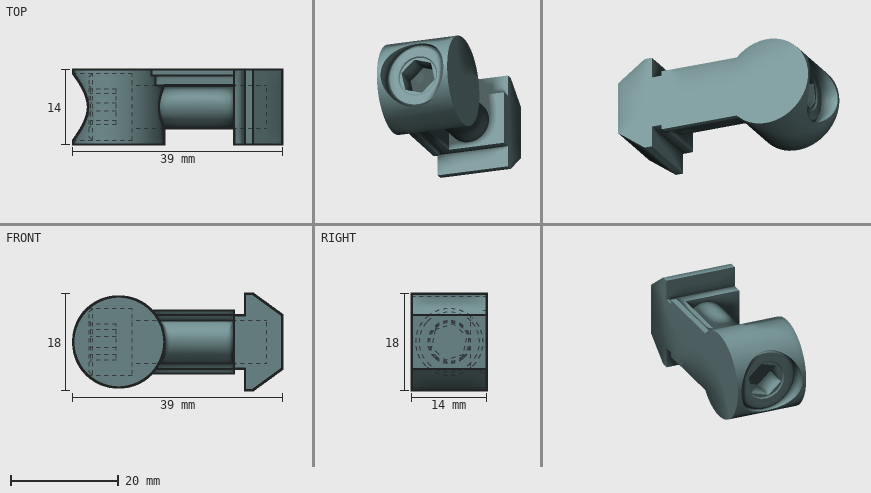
import cadquery as cq
import math

body_width = 14.0
half_width = body_width / 2

barrel_diameter = 17.0
barrel_radius = barrel_diameter / 2
barrel_left = 0.0
barrel_center_x = barrel_left + barrel_radius

neck_length = 2.0
neck_height = 10.0
nut_left = 30.0
flange_left = nut_left + neck_length
flange_height = 18.0
flange_edge = 1.5
nut_right = 39.0

arm_thickness = 3.0
arm_inner_height = neck_height
arm_outer_height = 11.8
arm_outer_thickness = 1.1

shank_diameter = 8.0
head_diameter = 12.5
head_left = 3.0
head_height = 8.0
head_right = head_left + head_height
head_chamfer = 0.65
socket_sides = 6
socket_flats = 6.0
socket_corners = socket_flats / math.cos(math.pi / socket_sides)
socket_depth = 5.0
socket_mouth_diameter = 7.7
socket_mouth_depth = 0.22
socket_mouth_taper = 45.0
screw_rotation = 17.5
screw_right = 36.0


def rod(diameter, x_start, x_end):
    """Cylinder on the clamp axis between two X positions."""
    return cq.Workplane("YZ", origin=(x_start, 0, 0)).circle(diameter / 2).extrude(x_end - x_start)


def arm_layer(thickness, height):
    """Plate flush with the +Y face, from the barrel axis to the nut."""
    length = nut_left - barrel_center_x
    corner = cq.Workplane("XY", origin=(barrel_center_x, half_width - thickness, 0))
    return corner.box(length, thickness, height, centered=(False, False, True))


def make_barrel():
    barrel = (
        cq.Workplane("XZ", origin=(barrel_center_x, 0, 0))
        .circle(barrel_radius)
        .extrude(half_width, both=True)
    )
    barrel = barrel.union(arm_layer(arm_thickness, arm_inner_height))
    barrel = barrel.union(arm_layer(arm_outer_thickness, arm_outer_height))
    counterbore = rod(head_diameter, barrel_left, head_right)
    shank_hole = rod(shank_diameter, head_right, barrel_left + barrel_diameter)
    return barrel.cut(counterbore).cut(shank_hole)


def make_nut():
    neck = neck_height / 2
    flange = flange_height / 2
    upper_outline = [
        (nut_left, neck),
        (flange_left, neck),
        (flange_left, flange),
        (flange_left + flange_edge, flange),
        (nut_right, neck),
    ]
    lower_outline = [(x, -z) for x, z in reversed(upper_outline)]
    nut = cq.Workplane("XZ").polyline(upper_outline + lower_outline).close().extrude(half_width, both=True)
    return nut.cut(rod(shank_diameter, nut_left, screw_right))


def make_screw():
    head = rod(head_diameter, head_left, head_right).faces("<X").chamfer(head_chamfer)
    shank = rod(shank_diameter, head_right, screw_right)
    head_face = cq.Workplane("YZ", origin=(head_left, 0, 0))
    socket = head_face.polygon(socket_sides, socket_corners).extrude(socket_depth)
    mouth = head_face.circle(socket_mouth_diameter / 2).extrude(socket_mouth_depth, taper=socket_mouth_taper)
    screw = head.union(shank).cut(mouth).cut(socket)
    return screw.rotate((0, 0, 0), (1, 0, 0), screw_rotation)


barrel = make_barrel()
nut = make_nut()
screw = make_screw()

result = cq.Compound.makeCompound([barrel.solids().val(), nut.solids().val(), screw.solids().val()])